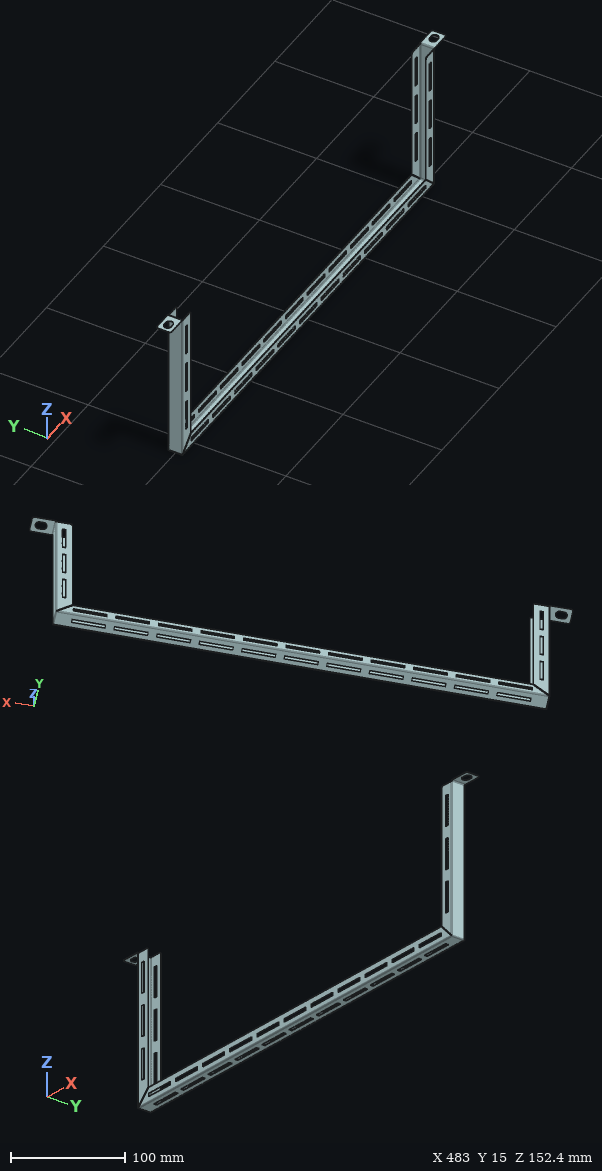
import cadquery as cq
import math

total_length = 483.0
depth = 15.0
height = 152.4

sheet = 0.8
flange_width = 15.0
inner_bend = 0.1
outer_bend = inner_bend + sheet

tab_length = 20.7
tab_corner = 2.0
tab_bend = 0.3
tab_hole_length = 10.3
tab_hole_width = 7.0
tab_hole_inset = 9.1

flange_corner = 2.0

seam_width = 0.7

slot_length = 30.0
slot_width = 3.0
base_slot_count = 11
base_slot_pitch = 38.0
leg_slot_count = 3
leg_slot_pitch = 42.2
leg_slot_middle = 83.0

frame_length = total_length - 2 * tab_length
half_frame = frame_length / 2
half_total = total_length / 2
flange_top = height - sheet - tab_bend
leg_inner = half_frame - flange_width


def make_frame():
    """U-shaped frame of channel section, open to the inside of the U."""
    outline = [
        (-half_frame, 0),
        (half_frame, 0),
        (half_frame, flange_top),
        (leg_inner, flange_top),
        (leg_inner, flange_width),
        (-leg_inner, flange_width),
        (-leg_inner, flange_top),
        (-half_frame, flange_top),
    ]
    frame = cq.Workplane("XZ").polyline(outline).close().extrude(depth / 2, both=True)
    web_faces = frame.faces("<X or >X or <Z")
    return web_faces.edges("<Y or >Y or <Z").fillet(outer_bend)


def make_cavity():
    """Space between the flanges and inside the three webs."""
    cavity = cq.Workplane("XY").box(
        frame_length - 2 * sheet, depth - 2 * sheet, height, centered=(True, True, False)
    )
    cavity = cavity.translate((0, 0, sheet))
    return cavity.faces("<X or >X or <Z").edges("<Y or >Y or <Z").fillet(inner_bend)


def round_flange_corners(frame):
    """Round the free upper corners of the leg flanges."""
    for side in (-1, 1):
        corner_region = cq.selectors.BoxSelector(
            (side * leg_inner - flange_corner, -depth, flange_top - flange_corner),
            (side * leg_inner + flange_corner, depth, flange_top + flange_corner),
        )
        frame = frame.edges("|Y").edges(corner_region).fillet(flange_corner)
    return frame


def cut_seams(frame):
    """Mitre seams at 45 degrees through the flanges, from the inner corner out to the web bend."""
    step = seam_width / math.sqrt(2)
    inner_end = flange_width + step
    for side in (-1, 1):
        seam_outline = [
            (side * (half_frame - outer_bend - step), outer_bend),
            (side * (half_frame - outer_bend), outer_bend + step),
            (side * (half_frame - inner_end), inner_end + step),
            (side * (half_frame - inner_end - step), inner_end),
        ]
        seam = cq.Workplane("XZ").polyline(seam_outline).close().extrude(depth, both=True)
        frame = frame.cut(seam)
    return frame


def cut_slots(frame):
    """Slots through the base web and through all flanges."""
    web_slot = cq.Workplane("XY").box(slot_length, slot_width, flange_width / 2)
    base_flange_slot = cq.Workplane("XY").box(slot_length, 2 * depth, slot_width)
    leg_flange_slot = cq.Workplane("XY").box(slot_width, 2 * depth, slot_length)
    for i in range(base_slot_count):
        x = (i - (base_slot_count - 1) / 2) * base_slot_pitch
        frame = frame.cut(web_slot.translate((x, 0, 0)))
        frame = frame.cut(base_flange_slot.translate((x, 0, flange_width / 2)))
    for side in (-1, 1):
        x = side * (half_frame - flange_width / 2)
        for i in range(leg_slot_count):
            z = leg_slot_middle + (i - (leg_slot_count - 1) / 2) * leg_slot_pitch
            frame = frame.cut(leg_flange_slot.translate((x, 0, z)))
    return frame


def make_tab():
    """Mounting tab on the +X side, bent outward from the top of the leg web."""
    outline = (
        cq.Workplane("XZ")
        .moveTo(half_total, height)
        .lineTo(half_frame + tab_bend, height)
        .radiusArc((half_frame - sheet, flange_top), -(tab_bend + sheet))
        .lineTo(half_frame, flange_top)
        .radiusArc((half_frame + tab_bend, height - sheet), tab_bend)
        .lineTo(half_total, height - sheet)
        .close()
    )
    tab = outline.extrude(depth / 2, both=True)
    tab = tab.edges("|Z and >X").fillet(tab_corner)
    hole = (
        cq.Workplane("XY")
        .center(half_total - tab_hole_inset, 0)
        .slot2D(tab_hole_length, tab_hole_width)
        .extrude(2 * height)
    )
    return tab.cut(hole)


frame = cut_seams(round_flange_corners(make_frame().cut(make_cavity())))
tab = make_tab()
result = cut_slots(frame).union(tab).union(tab.mirror("YZ")).solids()